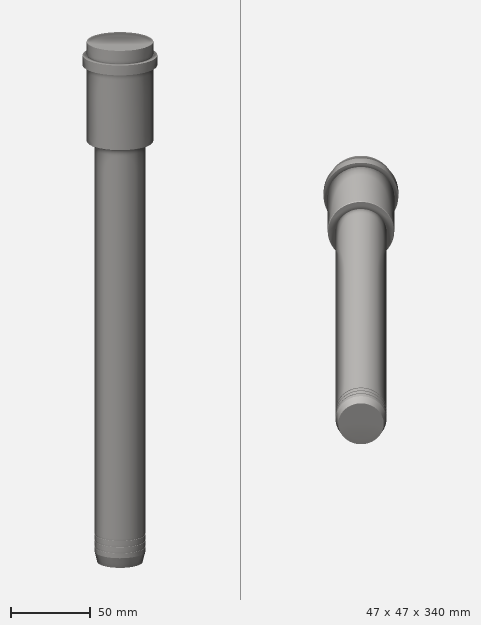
import cadquery as cq

length = 340.0

flange_diameter = 47.0
head_diameter = 41.8
stem_diameter = 32.0
tip_diameter = 28.5

head_length = 65.3
flange_top_offset = 9.0
flange_thickness = 6.5
nose_height = 6.8

collar_chamfer = 0.5

groove_count = 3
groove_pitch = 4.0
groove_width = 1.0
groove_depth = 0.5

relief_width = 0.7
relief_depth = 0.5

head_bottom = length - head_length
flange_top = length - flange_top_offset
flange_bottom = flange_top - flange_thickness


def cylinder(diameter, bottom, height):
    """Solid cylinder on the Z axis, starting at the given height."""
    return cq.Workplane("XY").workplane(offset=bottom).circle(diameter / 2).extrude(height)


def ring_cut(surface_diameter, depth, bottom, width):
    """Ring of material to remove from a cylindrical surface."""
    outer = cylinder(flange_diameter, bottom, width)
    return outer.cut(cylinder(surface_diameter - 2 * depth, bottom, width))


def stem_with_nose():
    """Straight stem whose lower end tapers to the flat tip."""
    stem_radius = stem_diameter / 2
    return (
        cq.Workplane("XZ")
        .moveTo(0, head_bottom)
        .lineTo(stem_radius, head_bottom)
        .lineTo(stem_radius, nose_height)
        .lineTo(tip_diameter / 2, 0)
        .lineTo(0, 0)
        .close()
        .revolve(360, (0, 0, 0), (0, 1, 0))
    )


def head_with_flange():
    """Head with a chamfered lower edge, and a flange between two narrow reliefs."""
    head = cylinder(head_diameter, head_bottom, head_length)
    head = head.faces("<Z").chamfer(collar_chamfer)
    for bottom in (flange_top, flange_bottom - relief_width):
        head = head.cut(ring_cut(head_diameter, relief_depth, bottom, relief_width))
    return head.union(cylinder(flange_diameter, flange_bottom, flange_thickness))


stem = stem_with_nose()
for index in range(1, groove_count + 1):
    groove_bottom = nose_height + index * groove_pitch - groove_width
    stem = stem.cut(ring_cut(stem_diameter, groove_depth, groove_bottom, groove_width))
stem = stem.cut(ring_cut(stem_diameter, relief_depth, head_bottom - relief_width, relief_width))

result = stem.union(head_with_flange())